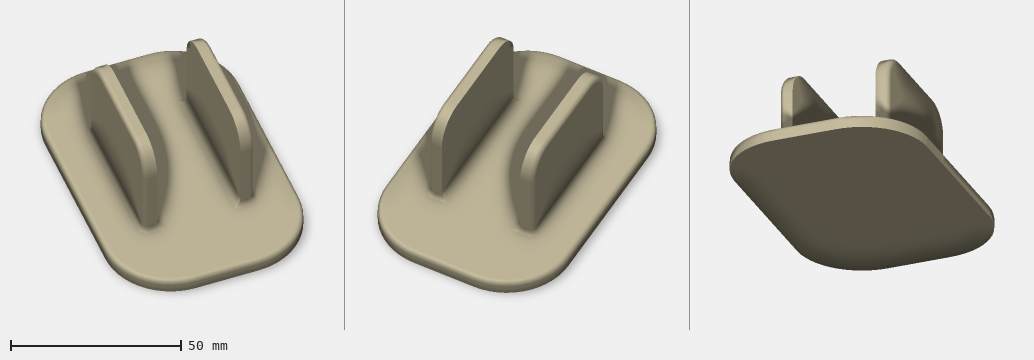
import cadquery as cq

base_length = 90.0
base_width = 60.8
base_thickness = 4.2
base_corner_radius = 20.5
base_rim_round = 1.5

total_height = 35.8
upright_length = 44.1
upright_thickness = 4.2
upright_gap = 26.2
upright_corner_radius = 9.1
upright_rim_round = 1.5

outer_root_fillet = 1.4
inner_root_fillet = 2.4

selection_margin = 0.1


def make_base():
    """Rounded rectangular plate with its upper rim rounded over."""
    plate = (
        cq.Workplane("XY")
        .rect(base_length, base_width)
        .extrude(base_thickness)
        .edges("|Z")
        .fillet(base_corner_radius)
    )
    return plate.faces(">Z").edges().fillet(base_rim_round)


def make_upright_block():
    """Solid block spanning both uprights, with the outer rim of its two Y faces rounded over."""
    block = (
        cq.Workplane("XY")
        .rect(upright_length, upright_gap + 2 * upright_thickness)
        .extrude(total_height)
        .edges("|Y and >Z")
        .fillet(upright_corner_radius)
    )
    return block.faces("<Y or >Y").edges("not <Z").fillet(upright_rim_round)


def add_outer_root_fillet(body):
    """Fillet the closed loop of edges where the block rises from the top of the base."""
    half_length = upright_length / 2 + selection_margin
    half_width = upright_gap / 2 + upright_thickness + selection_margin
    foot_zone = cq.selectors.BoxSelector(
        (-half_length, -half_width, base_thickness - selection_margin),
        (half_length, half_width, base_thickness + selection_margin),
        boundingbox=True,
    )
    return body.edges(foot_zone).fillet(outer_root_fillet)


def make_channel():
    """Cutter that separates the uprights, leaving a fillet along each inner root."""
    height = total_height - base_thickness
    return (
        cq.Workplane("XY")
        .workplane(offset=base_thickness)
        .rect(base_length, upright_gap)
        .extrude(height)
        .edges("|X and <Z")
        .fillet(inner_root_fillet)
    )


body = make_base().union(make_upright_block())
body = add_outer_root_fillet(body)
result = body.cut(make_channel())